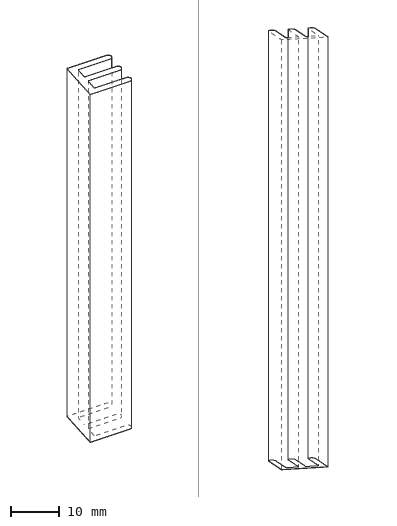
import cadquery as cq

width = 10.0
depth = 10.0
length = 90.0
base_thickness = 1.8
fin_thickness = 1.5
fin_count = 3
root_radius = 0.2

tip_radius = fin_thickness / 2
fin_pitch = (width - fin_thickness) / (fin_count - 1)
slot_width = fin_pitch - fin_thickness


def make_blank():
    """Solid bar centred on X, with the outer face of its base at Y = 0."""
    return cq.Workplane("XY").box(width, depth, length, centered=(True, False, False))


def make_slot(center_x):
    """Cutter for the gap between two fins, with rounded corners at the fin roots."""
    slot_depth = depth - base_thickness
    cutter = cq.Workplane("XY").box(slot_width, slot_depth, length, centered=(True, False, False))
    cutter = cutter.faces("<Y").edges("|Z").fillet(root_radius)
    return cutter.translate((center_x, base_thickness, 0))


def make_tip_trim(center_x):
    """Cutter that leaves a full-round tip on one fin, along its whole length."""
    shoulder_y = depth - tip_radius
    block = cq.Workplane("XY").box(fin_thickness, tip_radius, length, centered=(True, False, False))
    rod = cq.Workplane("XY").circle(tip_radius).extrude(length)
    return block.cut(rod).translate((center_x, shoulder_y, 0))


fin_positions = [(index - (fin_count - 1) / 2) * fin_pitch for index in range(fin_count)]

result = make_blank()
for fin_x in fin_positions[:-1]:
    result = result.cut(make_slot(fin_x + fin_pitch / 2))
for fin_x in fin_positions:
    result = result.cut(make_tip_trim(fin_x))